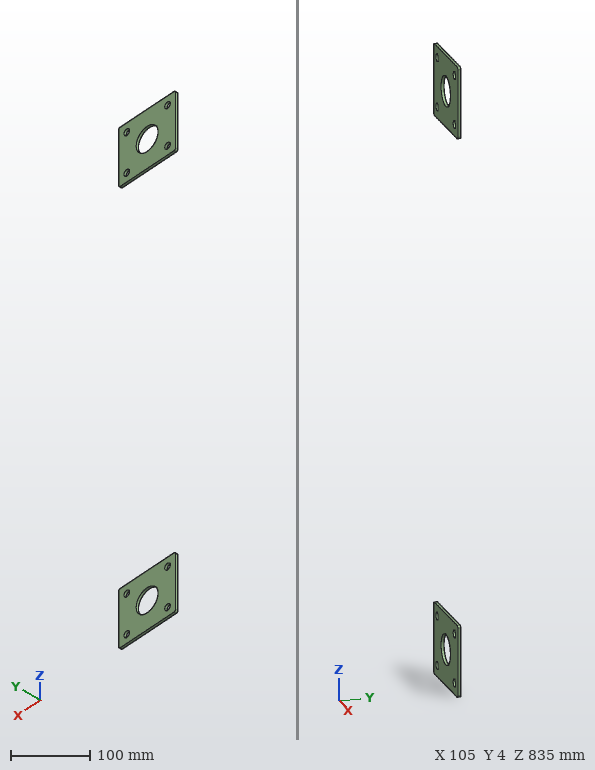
import cadquery as cq

plate_width = 105.0
plate_thickness = 4.0
plate_height = 95.0
corner_radius = 3.0

bore_diameter = 40.0
bolt_hole_diameter = 10.0
bolt_spacing_x = 75.0
bolt_spacing_z = 65.0

overall_height = 835.0
plate_center_z = (overall_height - plate_height) / 2


def flange_plate(center_z):
    """Round-cornered plate with a central bore and four bolt holes along Y."""
    blank = cq.Workplane("XZ").rect(plate_width, plate_height).extrude(plate_thickness / 2, both=True)
    rounded = blank.edges("|Y").fillet(corner_radius)
    bored = rounded.faces("<Y").workplane(origin=(0, 0, 0)).hole(bore_diameter)
    drilled = (
        bored.faces("<Y")
        .workplane(origin=(0, 0, 0))
        .rect(bolt_spacing_x, bolt_spacing_z, forConstruction=True)
        .vertices()
        .hole(bolt_hole_diameter)
    )
    return drilled.translate((0, 0, center_z))


flange_plates = [flange_plate(center_z) for center_z in (-plate_center_z, plate_center_z)]

result = cq.Compound.makeCompound([plate.val() for plate in flange_plates])